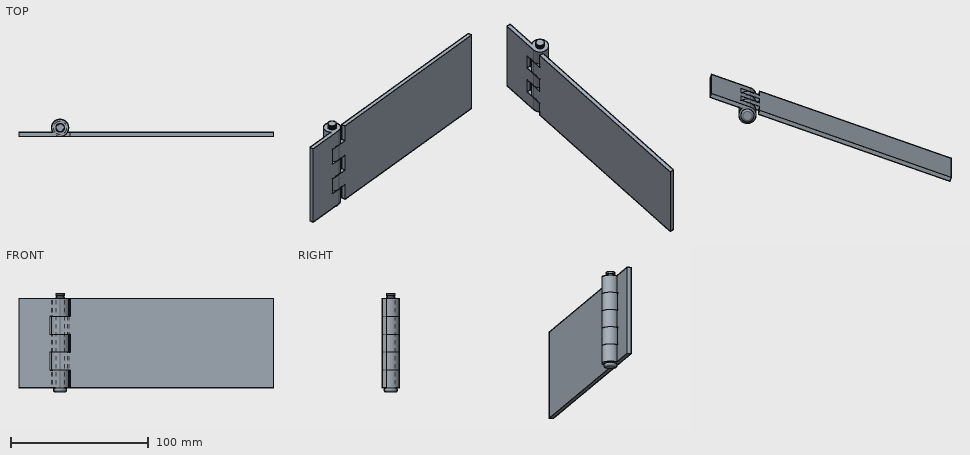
import cadquery as cq

total_length = 185.0
hinge_height = 65.0
leaf_thickness = 3.1
barrel_radius = 6.3
pin_axis_x = 30.0
notch_reach = 7.2
knuckle_count = 5
knuckle_height = hinge_height / knuckle_count

pin_radius = barrel_radius - leaf_thickness
pin_end_length = 3.5
tip_length = 1.5
groove_width = 1.1
groove_radius = 2.5
head_radius = 4.8
head_height = 3.0

short_edge_x = -pin_axis_x
long_edge_x = total_length - pin_axis_x


def box_between(x_start, x_end, z_bottom, height):
    """Flat piece of leaf, its front face tangent to the barrel."""
    return (
        cq.Workplane("XY")
        .box(x_end - x_start, leaf_thickness, height, centered=False)
        .translate((x_start, -barrel_radius, z_bottom))
    )


def cylinder(radius, z_bottom, height):
    return cq.Workplane("XY", origin=(0, 0, z_bottom)).circle(radius).extrude(height)


def make_leaf(outer_x, notch_x, knuckle_indices):
    """Plate with a tab and an eye around the pin at each of its knuckles."""
    leaf = box_between(min(outer_x, notch_x), max(outer_x, notch_x), 0, hinge_height)
    for index in knuckle_indices:
        z_bottom = index * knuckle_height
        tab = box_between(min(notch_x, 0), max(notch_x, 0), z_bottom, knuckle_height)
        eye = cylinder(barrel_radius, z_bottom, knuckle_height)
        leaf = leaf.union(tab).union(eye)
    bore = cylinder(pin_radius, 0, hinge_height)
    return leaf.cut(bore).clean()


def make_head():
    """Disc below the barrel whose rim is a full half-round."""
    flat_radius = head_radius - head_height / 2
    return (
        cq.Workplane("XZ")
        .moveTo(0, -head_height)
        .lineTo(flat_radius, -head_height)
        .threePointArc((head_radius, -head_height / 2), (flat_radius, 0))
        .lineTo(0, 0)
        .close()
        .revolve(360, (0, 0), (0, 1))
    )


def make_pin():
    """Headed pin with a retaining groove near its top end."""
    pin_top = hinge_height + pin_end_length
    groove_bottom = pin_top - tip_length - groove_width
    shank = cylinder(pin_radius, 0, pin_top)
    groove = cylinder(pin_radius, groove_bottom, groove_width).cut(
        cylinder(groove_radius, groove_bottom, groove_width)
    )
    return shank.cut(groove).union(make_head())


short_leaf = make_leaf(short_edge_x, -notch_reach, range(0, knuckle_count, 2))
long_leaf = make_leaf(long_edge_x, notch_reach, range(1, knuckle_count, 2))
pin = make_pin()

result = cq.Compound.makeCompound([short_leaf.val(), long_leaf.val(), pin.val()])